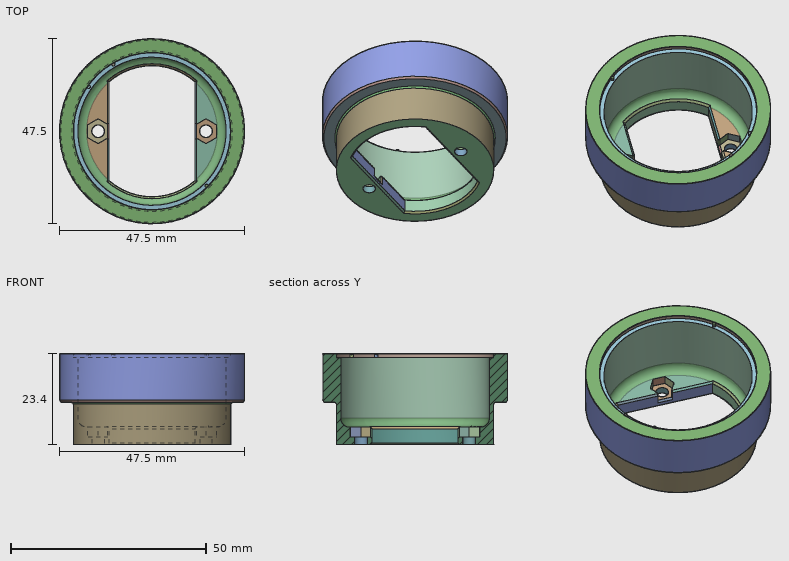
import cadquery as cq
import math

total_height = 23.35
rim_diameter = 47.5
rim_bottom = 10.85
rim_lower_chamfer_width = 0.4
rim_lower_chamfer_height = 0.55
rim_top_chamfer = 0.1
neck_diameter = 40.4
neck_flare_width = 0.4
neck_flare_height = 0.45

recess_diameter = 40.2
recess_depth = 1.0
recess_edge_chamfer = 0.1
bore_diameter = 38.0
floor_height = 4.55
floor_fillet = 2.25

opening_radius = bore_diameter / 2 - floor_fillet
opening_half_width = 10.97
opening_chamfer = 0.48

screw_offset = 13.83
screw_diameter = 3.2
nut_across_flats = 5.5
nut_corner_diameter = nut_across_flats / math.cos(math.pi / 6)
nut_depth = 2.5
nut_mouth_width = 3.9

pin_diameter = 0.85
pin_height = 0.75
pin_circle_radius = 19.8
pin_angles = (120, 145, 315)


def make_body():
    """Revolve the wall and floor as one stepped cup."""
    rim_radius = rim_diameter / 2
    neck_radius = neck_diameter / 2
    recess_radius = recess_diameter / 2
    bore_radius = bore_diameter / 2
    ledge_height = total_height - recess_depth
    arc_inset = floor_fillet * (1 - math.sqrt(0.5))
    profile = (
        cq.Workplane("XZ")
        .moveTo(0, 0)
        .lineTo(neck_radius, 0)
        .lineTo(neck_radius, rim_bottom - neck_flare_height)
        .lineTo(neck_radius + neck_flare_width, rim_bottom)
        .lineTo(rim_radius - rim_lower_chamfer_width, rim_bottom)
        .lineTo(rim_radius, rim_bottom + rim_lower_chamfer_height)
        .lineTo(rim_radius, total_height - rim_top_chamfer)
        .lineTo(rim_radius - rim_top_chamfer, total_height)
        .lineTo(recess_radius + recess_edge_chamfer, total_height)
        .lineTo(recess_radius, total_height - recess_edge_chamfer)
        .lineTo(recess_radius, ledge_height)
        .lineTo(bore_radius, ledge_height)
        .lineTo(bore_radius, floor_height + floor_fillet)
        .threePointArc(
            (bore_radius - arc_inset, floor_height + arc_inset),
            (bore_radius - floor_fillet, floor_height),
        )
        .lineTo(0, floor_height)
        .close()
    )
    return profile.revolve(360, (0, 0, 0), (0, 1, 0))


def opening_prism(base_height, height, taper):
    """Opening outline extruded from base_height, growing at 45 degrees if tapered."""
    plane = cq.Workplane("XY", origin=(0, 0, base_height))
    disc = plane.circle(opening_radius).extrude(height, taper=taper)
    slab = plane.rect(2 * opening_half_width, 2 * rim_diameter).extrude(height, taper=taper)
    return disc.intersect(slab)


def make_opening():
    """Through opening whose upper and lower edges widen at 45 degrees."""
    straight = opening_prism(0, floor_height, 0)
    upper_flare = opening_prism(floor_height - opening_chamfer, 2 * opening_chamfer, -45)
    lower_flare = opening_prism(-opening_chamfer, 2 * opening_chamfer, -45).mirror(
        "XY", (0, 0, 0)
    )
    return straight.union(upper_flare).union(lower_flare)


def make_screw_cut():
    """Screw hole on +X with a nut pocket that opens through a chamfered mouth."""
    pocket_floor = floor_height - nut_depth
    pocket_top = floor_height + floor_fillet
    mouth_edge = opening_half_width + opening_chamfer

    hole = cq.Workplane("XY").center(screw_offset, 0).circle(screw_diameter / 2).extrude(floor_height)
    hexagon = (
        cq.Workplane("XY", origin=(screw_offset, 0, pocket_floor))
        .transformed(rotate=(0, 0, 90))
        .polygon(6, nut_corner_diameter)
        .extrude(nut_depth + floor_fillet)
    )
    pocket_limit = (
        cq.Workplane("XY")
        .box(nut_corner_diameter, nut_corner_diameter, pocket_top, centered=(False, True, False))
        .translate((mouth_edge, 0, 0))
    )
    mouth = (
        cq.Workplane("XZ")
        .moveTo(opening_half_width, pocket_floor - opening_chamfer)
        .lineTo(mouth_edge, pocket_floor)
        .lineTo(mouth_edge, pocket_top)
        .lineTo(opening_half_width, pocket_top)
        .close()
        .extrude(nut_mouth_width / 2, both=True)
    )
    return hole.union(hexagon.intersect(pocket_limit)).union(mouth)


def make_pins():
    """Pins standing on the ledge, merging with the recess wall and ending below the rim."""
    centers = [
        (pin_circle_radius * math.cos(math.radians(a)), pin_circle_radius * math.sin(math.radians(a)))
        for a in pin_angles
    ]
    ledge = cq.Workplane("XY", origin=(0, 0, total_height - recess_depth))
    return ledge.pushPoints(centers).circle(pin_diameter / 2).extrude(pin_height)


screw_cut = make_screw_cut()
result = (
    make_body()
    .cut(make_opening())
    .cut(screw_cut)
    .cut(screw_cut.mirror("YZ"))
    .union(make_pins())
)